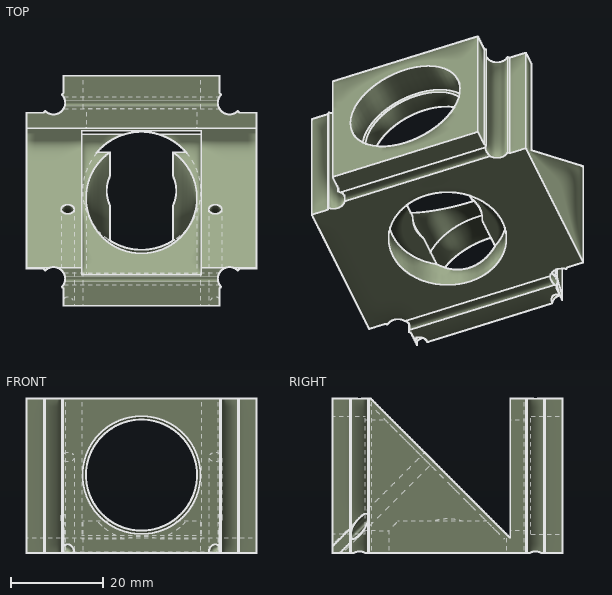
import cadquery as cq
import math

span = 49.8
height = 33.5
arm_half = 16.9
axis_z = arm_half

groove_centre = 19.03
groove_radius = 2.5
groove_lip_offset = groove_radius * math.sin(math.pi / 4)

back_wall_y = 13.55
slope_sum = 16.85
seat_width = 25.8
seat_end_y = 12.95
seat_depth = 1.05

bore_diameter = 24.0
port_diameter = 25.5
port_depth = 7.0
bottom_bore_diameter = 15.0

screw_diameter = 2.8
screw_x = 15.95
screw_y = -4.0
web_thickness = 0.05

half_span = span / 2
overshoot = 5.0


def corner_cutter(x_sign, y_sign):
    """Notch of one corner: a square step with a rod groove between two raised lips."""
    far = half_span + overshoot
    inner = groove_centre - groove_lip_offset
    outer = groove_centre + groove_lip_offset
    lip_base = outer + (inner - arm_half)

    def place(x, y):
        return (x_sign * x, y_sign * y)

    return (
        cq.Workplane("XY")
        .moveTo(*place(arm_half, far))
        .lineTo(*place(arm_half, lip_base))
        .lineTo(*place(inner, outer))
        .threePointArc(place(inner, inner), place(outer, inner))
        .lineTo(*place(lip_base, arm_half))
        .lineTo(*place(far, arm_half))
        .lineTo(*place(far, far))
        .close()
        .extrude(height)
    )


def cross_groove(y, z):
    """Round cutter along X for a shallow groove in a horizontal face."""
    return cq.Workplane("YZ").center(y, z).circle(groove_radius).extrude(half_span, both=True)


def slope_opening():
    """Wedge between the back wall and the 45 degree slope, open at the top and in X."""
    top = height + overshoot
    return (
        cq.Workplane("YZ")
        .moveTo(back_wall_y, slope_sum - back_wall_y)
        .lineTo(back_wall_y, top)
        .lineTo(slope_sum - top, top)
        .close()
        .extrude(half_span, both=True)
    )


def mirror_seat():
    """Shallow rectangular recess in the slope, open at its upper end."""
    drop = seat_depth / math.sqrt(2)
    end_z = slope_sum - seat_end_y
    rise = height + overshoot - end_z
    return (
        cq.Workplane("YZ")
        .moveTo(seat_end_y, end_z)
        .lineTo(seat_end_y - drop, end_z - drop)
        .lineTo(seat_end_y - drop - rise, end_z - drop + rise)
        .lineTo(seat_end_y - rise, end_z + rise)
        .close()
        .extrude(seat_width / 2, both=True)
    )


def cylinder(diameter, length, start, direction):
    """Solid cylinder from a start point along a direction."""
    return cq.Workplane(
        cq.Solid.makeCylinder(diameter / 2, length, cq.Vector(*start), cq.Vector(*direction))
    )


def screw_hole(x_sign):
    """Hole square to the slope, leaving a thin web along the side of the front arm."""
    start = (x_sign * screw_x, screw_y + overshoot, slope_sum - screw_y + overshoot)
    hole = cylinder(screw_diameter, 2 * span, start, (0, -1, -1))
    lip_y = -(groove_centre + groove_lip_offset)
    web_length = half_span + lip_y
    web_x = arm_half - web_thickness
    web_zone = (
        cq.Workplane("XY")
        .box(screw_diameter, web_length, height, centered=(True, True, False))
        .translate((x_sign * (web_x + screw_diameter / 2), lip_y - web_length / 2, 0))
    )
    return hole.cut(web_zone)


body = cq.Workplane("XY").box(span, span, height, centered=(True, True, False))

for x_sign in (-1, 1):
    for y_sign in (-1, 1):
        body = body.cut(corner_cutter(x_sign, y_sign))

for y_sign in (-1, 1):
    for z_sign in (-1, 1):
        body = body.cut(cross_groove(y_sign * groove_centre, axis_z + z_sign * groove_centre))

body = body.cut(slope_opening()).cut(mirror_seat())

body = body.cut(cylinder(bore_diameter, span, (0, -half_span, axis_z), (0, 1, 0)))
body = body.cut(cylinder(port_diameter, port_depth, (0, -half_span, axis_z), (0, 1, 0)))
body = body.cut(cylinder(port_diameter, port_depth, (0, half_span, axis_z), (0, -1, 0)))

body = body.cut(cylinder(port_diameter, port_depth, (0, 0, 0), (0, 0, 1)))
body = body.cut(cylinder(bottom_bore_diameter, axis_z, (0, 0, 0), (0, 0, 1)))

for x_sign in (-1, 1):
    body = body.cut(screw_hole(x_sign))

result = body